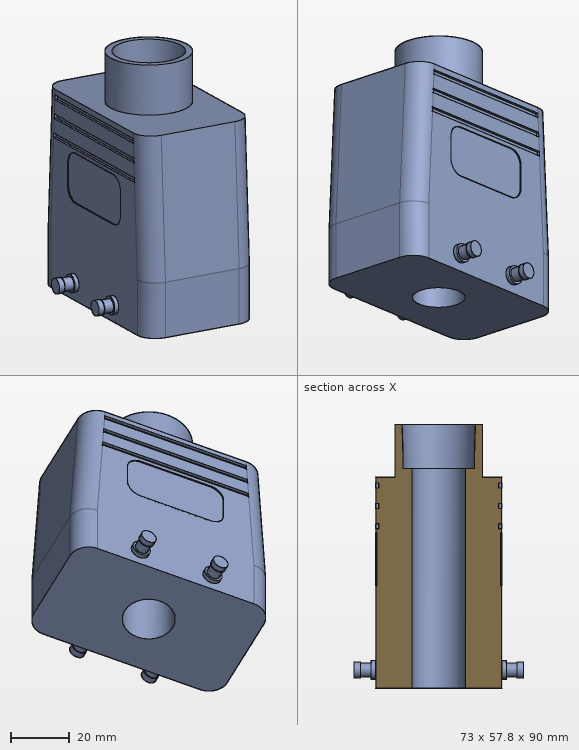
import cadquery as cq
import math

body_width = 73.0
body_depth = 43.0
body_height = 72.0
skirt_height = 20.0
side_draft = 3.2
corner_radius = 7.0

total_height = 90.0
collar_diameter = 30.0
bore_top_diameter = 25.0
bore_bottom_diameter = 24.2
bore_depth = 15.0
passage_diameter = 18.0

groove_count = 3
first_groove_drop = 2.1
groove_height = 1.6
groove_pitch = 6.9
groove_depth = 1.0

panel_width = 36.2
panel_height = 17.9
panel_middle_z = 44.0
panel_corner_radius = 5.0
panel_depth = 0.45

pin_spacing = 27.0
pin_z = 6.3
pin_tip_span = 57.8
flange_diameter = 6.5
flange_length = 1.5
neck_diameter = 4.9
head_diameter = 5.5
head_length = 2.25

front_y = -body_depth / 2
pin_length = (pin_tip_span - body_depth) / 2
neck_length = pin_length - flange_length - head_length


def half_width_at(z):
    """Half the body width at height z, from the skirt upwards."""
    return body_width / 2 - (z - skirt_height) * math.tan(math.radians(side_draft))


def flat_half_width_at(z):
    """Half the width of the flat broad face, between the rounded corners."""
    return half_width_at(z) - corner_radius / math.cos(math.radians(side_draft))


def mirrored_outline(right_side):
    """Close an outline from its right-hand points, given bottom to top as (x, z)."""
    left_side = [(-x, z) for x, z in reversed(right_side)]
    return cq.Workplane("XZ").polyline(right_side + left_side).close()


def on_both_faces(front_solid):
    """Repeat a front-face solid on the back face."""
    return front_solid.union(front_solid.mirror("XZ"))


def make_body():
    outline = mirrored_outline([
        (body_width / 2, 0),
        (body_width / 2, skirt_height),
        (half_width_at(body_height), body_height),
    ])
    body = outline.extrude(body_depth / 2, both=True)
    return body.edges("not #Z").fillet(corner_radius)


def make_groove(index):
    top_z = body_height - first_groove_drop - index * groove_pitch
    bottom_z = top_z - groove_height
    outline = mirrored_outline([
        (flat_half_width_at(bottom_z), bottom_z),
        (flat_half_width_at(top_z), top_z),
    ])
    return outline.extrude(groove_depth).translate((0, front_y + groove_depth, 0))


def make_panel():
    panel = cq.Workplane("XY").box(panel_width, panel_depth, panel_height)
    panel = panel.edges("|Y").fillet(panel_corner_radius)
    return panel.translate((0, front_y + panel_depth / 2, panel_middle_z))


def make_pin(x):
    sections = [
        (flange_diameter, flange_length),
        (neck_diameter, neck_length),
        (head_diameter, head_length),
    ]
    pin = cq.Workplane()
    start_y = front_y
    for diameter, length in sections:
        section = cq.Workplane("XZ", origin=(x, start_y, pin_z)).circle(diameter / 2).extrude(length)
        pin = pin.union(section)
        start_y -= length
    return pin


def make_collar():
    collar_height = total_height - body_height
    collar = cq.Workplane("XY", origin=(0, 0, body_height))
    return collar.circle(collar_diameter / 2).extrude(collar_height)


def make_bore():
    """Slightly tapered socket with a narrower passage down through the body."""
    floor_z = total_height - bore_depth
    socket = cq.Workplane("XY", origin=(0, 0, floor_z)).circle(bore_bottom_diameter / 2)
    socket = socket.workplane(offset=bore_depth).circle(bore_top_diameter / 2).loft()
    passage = cq.Workplane("XY").circle(passage_diameter / 2).extrude(total_height)
    return socket.union(passage)


result = make_body().union(make_collar()).cut(make_bore())

for groove_index in range(groove_count):
    result = result.cut(on_both_faces(make_groove(groove_index)))
result = result.cut(on_both_faces(make_panel()))

for pin_x in (-pin_spacing / 2, pin_spacing / 2):
    result = result.union(on_both_faces(make_pin(pin_x)))